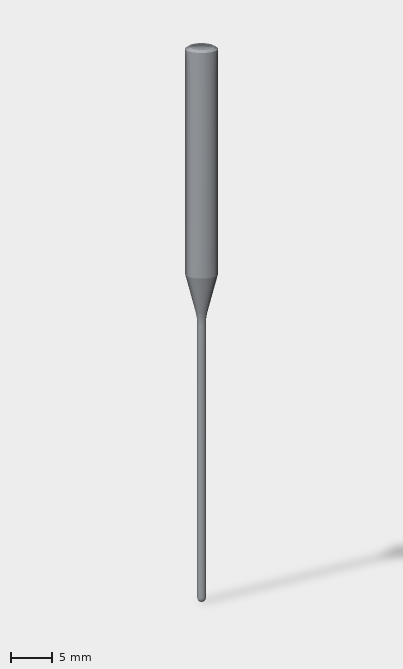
import cadquery as cq
import math

total_length = 70.0
shank_diameter = 4.0
end_chamfer_height = 0.3
end_chamfer_width = 0.4
neck_diameter = 1.05
neck_top = 35.1
flare_height = 1.5
cone_half_angle = 15.0
cutter_length = 1.55

shank_radius = shank_diameter / 2
neck_radius = neck_diameter / 2
ball_radius = neck_radius

cone_angle = math.radians(cone_half_angle)
flare_radius = flare_height / math.sin(cone_angle)


def flare_point(angle):
    """Point (radius, height) on the flare arc, turned by angle from the neck."""
    radius = neck_radius + flare_radius * (1 - math.cos(angle))
    height = neck_top + flare_radius * math.sin(angle)
    return radius, height


flare_middle = flare_point(cone_angle / 2)
flare_end = flare_point(cone_angle)
cone_top = flare_end[1] + (shank_radius - flare_end[0]) / math.tan(cone_angle)


def make_holder():
    """Shank, cone, flare and slender neck, turned about Z."""
    return (
        cq.Workplane("XZ")
        .moveTo(0, cutter_length)
        .lineTo(neck_radius, cutter_length)
        .lineTo(neck_radius, neck_top)
        .threePointArc(flare_middle, flare_end)
        .lineTo(shank_radius, cone_top)
        .lineTo(shank_radius, total_length - end_chamfer_height)
        .lineTo(shank_radius - end_chamfer_width, total_length)
        .lineTo(0, total_length)
        .close()
        .revolve(360, (0, 0, 0), (0, 1, 0))
    )


def make_cutter():
    """Short cylindrical cutting head with a hemispherical tip at the origin."""
    arc_offset = ball_radius * math.sin(math.radians(45))
    return (
        cq.Workplane("XZ")
        .threePointArc((arc_offset, ball_radius - arc_offset), (ball_radius, ball_radius))
        .lineTo(ball_radius, cutter_length)
        .lineTo(0, cutter_length)
        .close()
        .revolve(360, (0, 0, 0), (0, 1, 0))
    )


holder = make_holder()
cutter = make_cutter()

result = cq.Compound.makeCompound([holder.val(), cutter.val()])